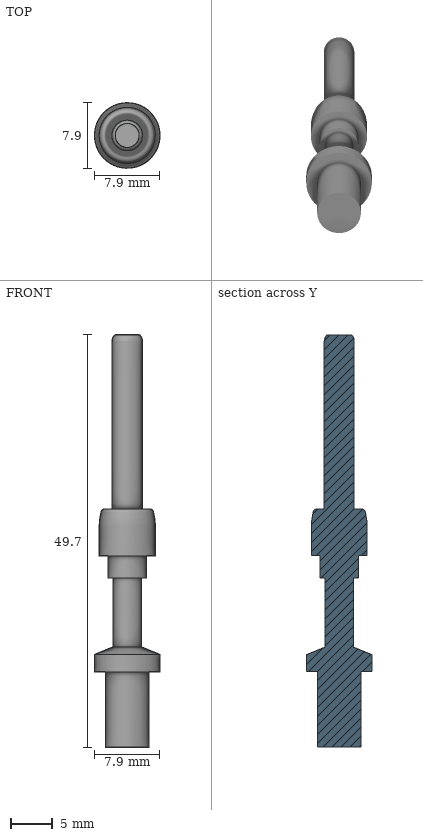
import cadquery as cq
import math

tail_radius = 2.65
flange_radius = 7.9 / 2
neck_radius = 1.75
shoulder_radius = 2.35
collar_radius = 3.4
pin_radius = 1.85
tip_radius = 1.45

flange_bottom = 9.1
flange_rim = 11.2
flange_top = 12.1
shoulder_bottom = 20.4
collar_bottom = 23.05
blend_start = 26.8
taper_start = 27.55
taper_end = 28.3
collar_top = 28.75
tip_start = 48.9
total_height = 49.7

taper_angle = math.radians(10)
taper_start_radius = collar_radius - (taper_start - blend_start) * math.tan(taper_angle / 2)
taper_end_radius = taper_start_radius - (taper_end - taper_start) * math.tan(taper_angle)
edge_rounding = (collar_top - taper_end) / (1 - math.sin(taper_angle))
collar_top_radius = taper_end_radius - edge_rounding * math.cos(taper_angle)

profile = (
    cq.Workplane("XZ")
    .lineTo(tail_radius, 0)
    .lineTo(tail_radius, flange_bottom)
    .lineTo(flange_radius, flange_bottom)
    .lineTo(flange_radius, flange_rim)
    .lineTo(neck_radius, flange_top)
    .lineTo(neck_radius, shoulder_bottom)
    .lineTo(shoulder_radius, shoulder_bottom)
    .lineTo(shoulder_radius, collar_bottom)
    .lineTo(collar_radius, collar_bottom)
    .lineTo(collar_radius, blend_start)
    .tangentArcPoint((taper_start_radius, taper_start), relative=False)
    .lineTo(taper_end_radius, taper_end)
    .tangentArcPoint((collar_top_radius, collar_top), relative=False)
    .lineTo(pin_radius, collar_top)
    .lineTo(pin_radius, tip_start)
    .tangentArcPoint((tip_radius, total_height), relative=False)
    .lineTo(0, total_height)
    .close()
)

result = profile.revolve(360, (0, 0, 0), (0, 1, 0))